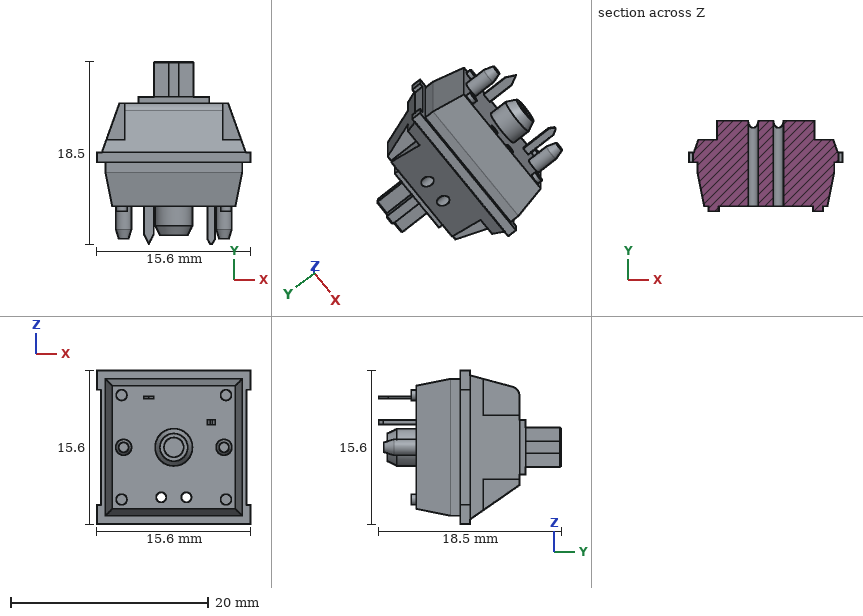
import cadquery as cq


flange_size = 15.6
flange_top = 1.02
side_notch_depth = 0.4
side_notch_height = 11.65

base_size = 13.9
base_end_size = 12.5
band_depth = 1.0
base_depth = 4.45

cover_half_size = 7.3
cover_top = 6.03
cover_top_half_width = 5.51
cover_top_upper = 5.95
cover_top_lower = -3.83
cover_edge_radius = 1.0
corner_floor = 2.33
corner_inner_x = 4.95
corner_inner_z = 3.25

shoulder_width = 7.2
shoulder_height = 5.55
shoulder_top = 6.65
cross_size = 4.03
cross_arm_x = 1.0
cross_arm_z = 1.22
stem_top = 10.23
stem_chamfer = 0.11

center_peg_diameter = 3.8
center_peg_tip_diameter = 2.81
center_peg_depth = 7.4
center_recess_diameter = 2.0
center_recess_depth = 0.2
side_peg_diameter = 1.61
side_peg_tip_diameter = 1.0
side_peg_depth = 7.75
side_peg_offset = 5.09
peg_taper_length = 1.0
foot_diameter = 1.1
foot_height = 0.5
foot_offset = 5.3

overall_length = 18.5
blade_depth = overall_length - stem_top
left_blade_x = -2.53
left_blade_z = 5.07
left_blade_width = 1.02
left_blade_thickness = 0.25
left_blade_tip_width = 0
left_blade_tip_length = 1.0
right_blade_x = 3.8
right_blade_z = 2.53
right_blade_width = 0.8
right_blade_thickness = 0.48
right_blade_tip_width = 0.2
right_blade_tip_length = 0.5

hole_diameter = 1.0
hole_offset_x = 1.28
hole_z = -5.07


def plane_at(y):
    """Workplane facing -Y at position y, with local axes X and Z."""
    return cq.Workplane("XZ", origin=(0, y, 0))


def block(width, height, y_low, y_high):
    """Box centred on the switch axis, sized in X and Z, between two Y positions."""
    return plane_at(y_high).rect(width, height).extrude(y_high - y_low)


def make_flange():
    flange = block(flange_size, flange_size, 0, flange_top)
    notches = (
        plane_at(flange_top)
        .pushPoints([(-flange_size / 2, 0), (flange_size / 2, 0)])
        .rect(2 * side_notch_depth, side_notch_height)
        .extrude(flange_top)
    )
    return flange.cut(notches)


def make_base():
    band = block(base_size, base_size, -band_depth, 0)
    taper = (
        plane_at(-band_depth)
        .rect(base_size, base_size)
        .workplane(offset=base_depth - band_depth)
        .rect(base_end_size, base_end_size)
        .loft(ruled=True)
    )
    return band.union(taper)


def make_cover():
    side_profile = (
        cq.Workplane("YZ")
        .polyline([
            (flange_top, -cover_half_size),
            (flange_top, cover_half_size),
            (cover_top, cover_top_upper),
            (cover_top, cover_top_lower),
        ])
        .close()
        .extrude(cover_half_size, both=True)
        .edges(cq.selectors.NearestToPointSelector((0, cover_top, cover_top_upper)))
        .fillet(cover_edge_radius)
    )
    width_profile = (
        cq.Workplane("XY")
        .polyline([
            (-cover_half_size, flange_top),
            (cover_half_size, flange_top),
            (cover_top_half_width, cover_top),
            (-cover_top_half_width, cover_top),
        ])
        .close()
        .extrude(cover_half_size, both=True)
    )
    cover = side_profile.intersect(width_profile)
    for side_x in (-1, 1):
        for side_z in (-1, 1):
            center_x = side_x * (corner_inner_x + cover_half_size / 2)
            center_z = side_z * (corner_inner_z + cover_half_size / 2)
            corner = block(cover_half_size, cover_half_size, corner_floor, cover_top)
            cover = cover.cut(corner.translate((center_x, 0, center_z)))
    return cover


def make_stem():
    shoulder = block(shoulder_width, shoulder_height, cover_top, shoulder_top)
    cross = block(cross_size, cross_arm_z, shoulder_top, stem_top).union(
        block(cross_arm_x, cross_size, shoulder_top, stem_top)
    )
    return shoulder.union(cross.faces(">Y").chamfer(stem_chamfer))


def make_peg(x, diameter, tip_diameter, depth):
    """Round peg hanging from the base end, with a conical tip."""
    shank_length = depth - base_depth - peg_taper_length
    return (
        plane_at(-base_depth)
        .center(x, 0)
        .circle(diameter / 2)
        .extrude(shank_length)
        .faces("<Y")
        .workplane()
        .circle(diameter / 2)
        .workplane(offset=peg_taper_length)
        .circle(tip_diameter / 2)
        .loft(combine=True)
    )


def make_center_peg():
    peg = make_peg(0, center_peg_diameter, center_peg_tip_diameter, center_peg_depth)
    recess = (
        plane_at(center_recess_depth - center_peg_depth)
        .circle(center_recess_diameter / 2)
        .extrude(center_recess_depth)
    )
    return peg.cut(recess)


def make_feet():
    return (
        plane_at(-base_depth)
        .rect(2 * foot_offset, 2 * foot_offset, forConstruction=True)
        .vertices()
        .circle(foot_diameter / 2)
        .extrude(foot_height)
    )


def make_blade(x, z, width, thickness, tip_width, tip_length):
    """Flat contact blade, narrowing in X to tip_width at its free end."""
    shoulder_y = tip_length - blade_depth
    outline = [
        (x - width / 2, -base_depth),
        (x - width / 2, shoulder_y),
        (x - tip_width / 2, -blade_depth),
    ]
    if tip_width > 0:
        outline.append((x + tip_width / 2, -blade_depth))
    outline += [
        (x + width / 2, shoulder_y),
        (x + width / 2, -base_depth),
    ]
    return (
        cq.Workplane("XY", origin=(0, 0, z))
        .polyline(outline)
        .close()
        .extrude(thickness / 2, both=True)
    )


features = [
    make_base(),
    make_cover(),
    make_stem(),
    make_center_peg(),
    make_feet(),
    make_blade(
        left_blade_x, left_blade_z, left_blade_width, left_blade_thickness,
        left_blade_tip_width, left_blade_tip_length,
    ),
    make_blade(
        right_blade_x, right_blade_z, right_blade_width, right_blade_thickness,
        right_blade_tip_width, right_blade_tip_length,
    ),
]
for side in (-1, 1):
    features.append(make_peg(side * side_peg_offset, side_peg_diameter, side_peg_tip_diameter, side_peg_depth))

result = make_flange()
for feature in features:
    result = result.union(feature)

through_holes = (
    plane_at(cover_top)
    .pushPoints([(-hole_offset_x, hole_z), (hole_offset_x, hole_z)])
    .circle(hole_diameter / 2)
    .extrude(cover_top + base_depth)
)
result = result.cut(through_holes)